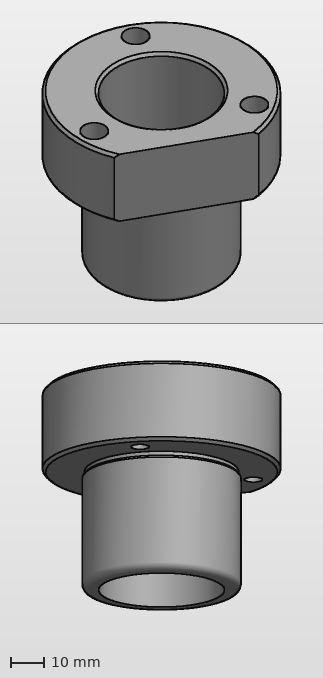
import cadquery as cq

flange_diameter = 72.0
flange_height = 25.0
flange_chamfer = 1.0
flat_distance = 28.0
barrel_diameter = 48.0
barrel_length = 37.0
barrel_end_radius = 2.0

groove_width = 2.0
groove_depth = 0.65
groove_taper_height = 0.75

bore_diameter = 38.0
bore_chamfer = 1.0

screw_count = 3
screw_circle_diameter = 58.0
screw_hole_diameter = 5.5
screw_head_diameter = 8.5
screw_head_depth = 6.5
first_screw_angle = 180.0


def make_flange():
    """Chamfered disc with one side cut to a plain flat."""
    disc = (
        cq.Workplane("XY")
        .circle(flange_diameter / 2)
        .extrude(flange_height)
        .edges()
        .chamfer(flange_chamfer)
    )
    beyond_flat = (
        cq.Workplane("XY")
        .box(flange_diameter, flange_diameter, flange_height, centered=(False, True, False))
        .translate((flat_distance, 0, 0))
    )
    return disc.cut(beyond_flat)


def make_barrel():
    """Turned barrel with a rounded lower rim and a tapered relief groove at the flange."""
    radius = barrel_diameter / 2
    groove_radius = radius - groove_depth
    profile = (
        cq.Workplane("XZ")
        .moveTo(0, 0)
        .lineTo(groove_radius, 0)
        .lineTo(groove_radius, groove_taper_height - groove_width)
        .lineTo(radius, -groove_width)
        .lineTo(radius, -barrel_length)
        .lineTo(0, -barrel_length)
        .close()
    )
    barrel = profile.revolve(360, (0, 0, 0), (0, 1, 0))
    return barrel.faces("<Z").edges().fillet(barrel_end_radius)


def cut_bore(body):
    """Through bore with a chamfered mouth on the flange face."""
    bore_radius = bore_diameter / 2
    bore = (
        cq.Workplane("XY")
        .workplane(offset=-barrel_length)
        .circle(bore_radius)
        .extrude(barrel_length + flange_height)
    )
    mouth = (
        cq.Workplane("XY")
        .workplane(offset=flange_height)
        .circle(bore_radius + bore_chamfer)
        .workplane(offset=-bore_chamfer)
        .circle(bore_radius)
        .loft(ruled=True)
    )
    return body.cut(bore).cut(mouth)


def cut_screw_holes(body):
    """Counterbored through holes, evenly spaced around the flange."""
    return (
        body.faces(">Z")
        .workplane(origin=(0, 0, flange_height))
        .polarArray(screw_circle_diameter / 2, first_screw_angle, 360, screw_count)
        .cboreHole(screw_hole_diameter, screw_head_diameter, screw_head_depth)
    )


body = make_flange().union(make_barrel())
body = cut_bore(body)
result = cut_screw_holes(body)